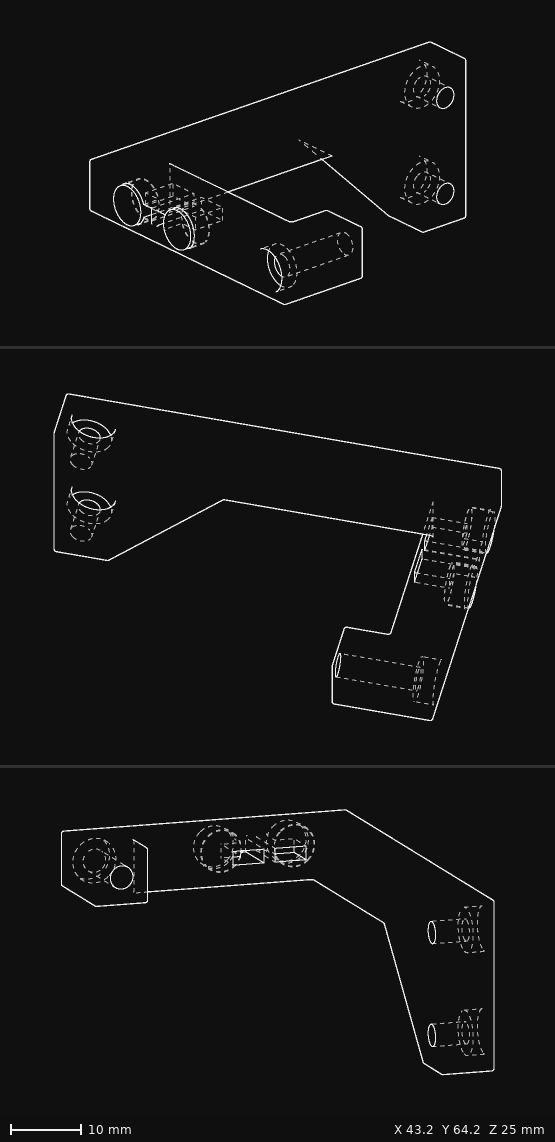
import cadquery as cq

bar = 8.1
half_bar = bar / 2
length_x = 43.2
length_y = 63.75
gusset_height = 25.0
gusset_foot = 8.0
gusset_slope = gusset_height - bar
hook_length = 14.75
edge_radius = 0.4
rim_radius = 0.35

wall_screw_diameter = 3.2
tip_screw_diameter = 3.4
head_diameter = 6.5
head_depth = 3.0
wall_screw_y = length_y - half_bar
wall_screw_heights = (-5.0, -20.0)
tip_screw_x = length_x - half_bar

disc_diameter = 6.0
disc_seat_diameter = 6.2
disc_seat_depth = 3.0
disc_protrusion = 0.4
disc_spacing = 11.0
discs_middle_x = 14.5
web_width = 1.7
window_height = 2.0
sides = (-1, 1)


def disc_x(side):
    return discs_middle_x + side * disc_spacing / 2


def cylinder_along_x(y, z, diameter, depth):
    """Cylinder from the -X face of the bracket inwards."""
    return cq.Workplane("YZ", origin=(0, y, z)).circle(diameter / 2).extrude(depth)


def cylinder_along_y(x, diameter, depth, start_y=0):
    """Cylinder on the crossbar's mid height, running in +Y from start_y."""
    return cq.Workplane("XZ", origin=(x, start_y, -half_bar)).circle(diameter / 2).extrude(-depth)


def make_blank():
    """Plan outline crossed with the side profile, all edges rounded."""
    plan = (
        cq.Workplane("XY")
        .polyline([
            (0, 0),
            (length_x, 0),
            (length_x, hook_length),
            (length_x - bar, hook_length),
            (length_x - bar, bar),
            (bar, bar),
            (bar, length_y),
            (0, length_y),
        ])
        .close()
        .extrude(-gusset_height)
    )
    foot_y = length_y - gusset_foot
    profile = (
        cq.Workplane("YZ")
        .polyline([
            (0, 0),
            (length_y, 0),
            (length_y, -gusset_height),
            (foot_y, -gusset_height),
            (foot_y - gusset_slope, -bar),
            (0, -bar),
        ])
        .close()
        .extrude(length_x)
    )
    return plan.intersect(profile).edges().fillet(edge_radius)


def wall_screw_hole(z):
    hole = cylinder_along_x(wall_screw_y, z, wall_screw_diameter, bar)
    return hole.union(cylinder_along_x(wall_screw_y, z, head_diameter, head_depth))


def tip_screw_hole():
    hole = cylinder_along_y(tip_screw_x, tip_screw_diameter, hook_length)
    return hole.union(cylinder_along_y(tip_screw_x, head_diameter, head_depth))


def disc_seat(side):
    """Disc recess with a through window reaching from the disc axis to the web."""
    width = (disc_spacing - web_width) / 2
    window_x = discs_middle_x + side * (web_width + width) / 2
    window = (
        cq.Workplane("XZ", origin=(window_x, 0, -half_bar))
        .rect(width, window_height)
        .extrude(-bar)
    )
    return cylinder_along_y(disc_x(side), disc_seat_diameter, disc_seat_depth).union(window)


def round_rims(body, face):
    """Round the rims of the openings in the given face."""
    rims = [edge for wire in body.faces(face).val().innerWires() for edge in wire.Edges()]
    return body.newObject(rims).fillet(rim_radius)


def make_bracket():
    body = make_blank()
    for z in wall_screw_heights:
        body = body.cut(wall_screw_hole(z))
    body = body.cut(tip_screw_hole())
    for side in sides:
        body = body.cut(disc_seat(side))
    body = round_rims(body, "<X")
    return round_rims(body, "<Y")


def make_disc(side):
    """Disc resting on the floor of its seat and standing proud of the crossbar."""
    thickness = disc_seat_depth + disc_protrusion
    return cylinder_along_y(disc_x(side), disc_diameter, thickness, -disc_protrusion)


bracket = make_bracket()
discs = [make_disc(side) for side in sides]

result = cq.Compound.makeCompound([bracket.val(), *[disc.val() for disc in discs]])